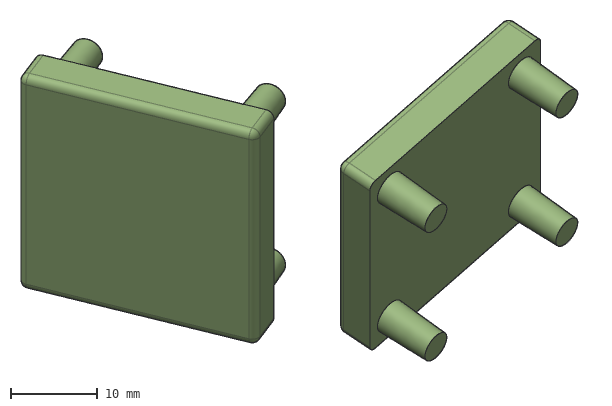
import cadquery as cq

side = 30.0
plate_thickness = 5.0
edge_radius = 1.0

total_depth = 12.1
pin_spacing = 23.0
pin_base_diameter = 4.32
pin_tip_diameter = 3.85
pin_length = total_depth - plate_thickness


def make_plate():
    """Square plate with rounded corners and a rounded front rim; the back stays sharp."""
    plate = cq.Workplane("XY").box(side, plate_thickness, side, centered=(True, False, True))
    return plate.edges("|Y or <Y").fillet(edge_radius)


def make_pin(x, z):
    """Solid pin that tapers from the back of the plate to its free end."""
    return cq.Workplane(
        cq.Solid.makeCone(
            pin_base_diameter / 2,
            pin_tip_diameter / 2,
            pin_length,
            pnt=cq.Vector(x, plate_thickness, z),
            dir=cq.Vector(0, 1, 0),
        )
    )


result = make_plate()
for x_sign in (-1, 1):
    for z_sign in (-1, 1):
        result = result.union(make_pin(x_sign * pin_spacing / 2, z_sign * pin_spacing / 2))